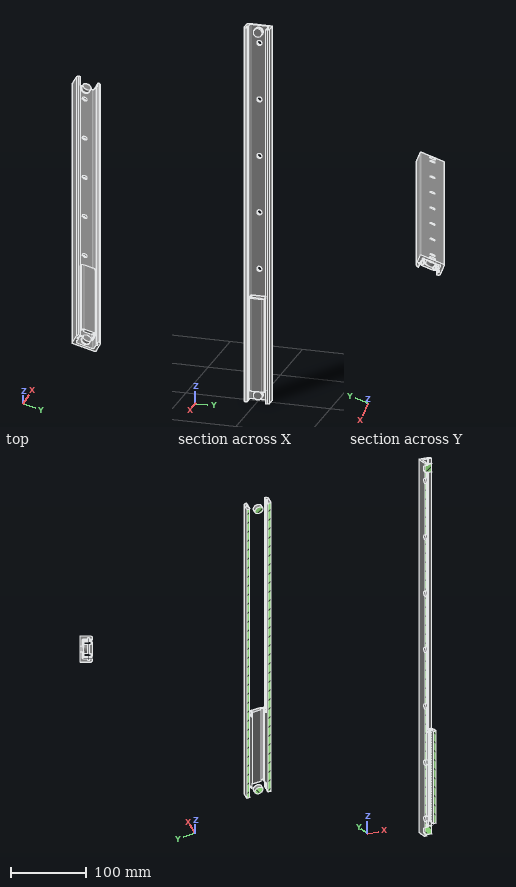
import cadquery as cq

rail_length = 530.0
rail_width = 35.0
rail_depth = 17.0
web_thickness = 3.0
arm_thickness = 4.5
back_fillet = 1.0
inner_fillet = 1.5
mouth_chamfer = 2.0
raceway_start = 10.5
raceway_width = 2.0
raceway_depth = 1.85

hole_diameter = 7.0
hole_count = 7
hole_pitch = 80.0
first_hole_height = (rail_length - (hole_count - 1) * hole_pitch) / 2

stop_shank_diameter = 8.5
stop_collar_diameter = 10.0
stop_head_diameter = 12.0
stop_head_start = 5.0
stop_head_end = 10.5
stop_end_distance = 8.0
stop_heights = [stop_end_distance, rail_length - stop_end_distance]

slider_bottom = 16.0
slider_length = 131.5
slider_front = rail_depth
slider_core_half_width = 6.5
slider_core_back = 12.5
slider_face_half_width = 7.5
slider_wing_front = 16.0
slider_wall = 1.0
slider_wing_half_width = 11.0
slider_wing_back = 12.5

cage_thickness = 1.5
cage_web_gap = 0.5
cage_back = web_thickness + cage_web_gap
cage_half_width = 11.0
cage_front = 10.5


def along_rail(outline, bottom, length):
    """Extrude a closed XY outline upwards from the given height."""
    return cq.Workplane("XY", origin=(0, 0, bottom)).polyline(outline).close().extrude(length)


def mirrored(half_points):
    """Complete an outline whose +Y half is given, by mirroring it about the X axis."""
    return half_points + [(x, -y) for x, y in reversed(half_points)]


def web_cylinder(diameter, height, start, end):
    """A cylinder along X, at the given height on the middle of the rail."""
    return cq.Workplane("YZ", origin=(start, 0, height)).circle(diameter / 2).extrude(end - start)


def make_rail():
    outer = rail_width / 2
    inner = outer - arm_thickness
    groove_floor = inner + raceway_depth
    raceway_end = raceway_start + raceway_width
    half_outline = [
        (0, outer),
        (rail_depth - mouth_chamfer, outer),
        (rail_depth, outer - mouth_chamfer),
        (rail_depth, inner),
        (raceway_end, inner),
        (raceway_end, groove_floor),
        (raceway_start, groove_floor),
        (raceway_start, inner),
        (web_thickness, inner),
    ]
    rail = along_rail(mirrored(half_outline), 0, rail_length)
    rail = rail.edges("|Z").edges("<X").fillet(back_fillet)
    for side in (-1, 1):
        corner = cq.selectors.NearestToPointSelector((web_thickness, side * inner, rail_length / 2))
        rail = rail.edges(corner).fillet(inner_fillet)
    for number in range(hole_count):
        height = first_hole_height + number * hole_pitch
        rail = rail.cut(web_cylinder(hole_diameter, height, 0, web_thickness))
    for height in stop_heights:
        rail = rail.cut(web_cylinder(stop_shank_diameter, height, 0, web_thickness))
    return rail


def make_stop(height):
    shank = web_cylinder(stop_shank_diameter, height, 0, web_thickness)
    collar = web_cylinder(stop_collar_diameter, height, web_thickness, stop_head_start)
    head = web_cylinder(stop_head_diameter, height, stop_head_start, stop_head_end)
    return shank.union(collar).union(head)


def make_slider():
    wing_inner_front = slider_wing_front - slider_wall
    wing_inner = slider_wing_half_width - slider_wall
    half_outline = [
        (slider_front, slider_face_half_width),
        (slider_wing_front, slider_wing_half_width),
        (slider_wing_back, slider_wing_half_width),
        (slider_wing_back, wing_inner),
        (wing_inner_front, wing_inner),
        (wing_inner_front, slider_core_half_width),
        (slider_core_back, slider_core_half_width),
    ]
    return along_rail(mirrored(half_outline), slider_bottom, slider_length)


def make_cage():
    inner = cage_half_width - cage_thickness
    half_outline = [
        (cage_back, cage_half_width),
        (cage_front, cage_half_width),
        (cage_front, inner),
        (cage_back + cage_thickness, inner),
    ]
    return along_rail(mirrored(half_outline), slider_bottom, slider_length)


rail = make_rail()
slider = make_slider()
cage = make_cage()
stops = [make_stop(height) for height in stop_heights]

result = cq.Compound.makeCompound(
    [rail.val(), slider.val(), cage.val(), *[stop.val() for stop in stops]]
)